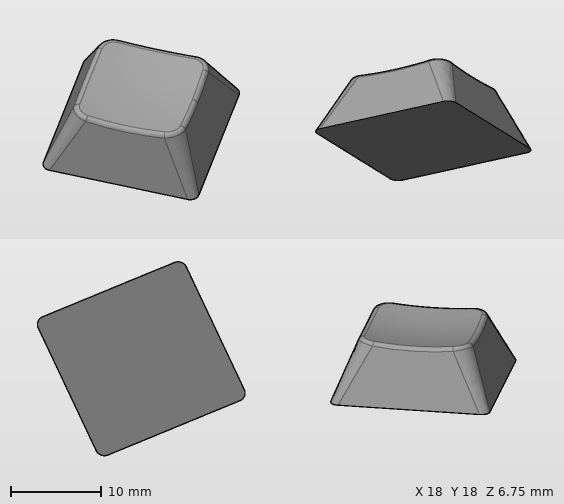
import cadquery as cq

base_side = 18.0
base_corner_radius = 1.0
loft_height = 8.0
loft_top_side = 11.57
loft_top_corner_radius = 2.15

dish_radius = 39.6
dish_bottom_height = 6.0
rim_fillet_radius = 0.6


def rounded_square(side, corner_radius, height):
    """Rounded square outline centred on the Z axis at the given height."""
    outline = cq.Sketch().rect(side, side).vertices().fillet(corner_radius)
    return outline.moved(cq.Location(cq.Vector(0, 0, height)))


def skirt():
    """Solid tapered block with flat sides and conical corners."""
    base = rounded_square(base_side, base_corner_radius, 0)
    top = rounded_square(loft_top_side, loft_top_corner_radius, loft_height)
    return cq.Workplane("XY").placeSketch(base, top).loft(ruled=True)


def dish_cutter():
    """Ball whose lowest point is the centre of the dished top."""
    ball_centre_height = dish_bottom_height + dish_radius
    return cq.Workplane("XY").sphere(dish_radius).translate((0, 0, ball_centre_height))


def round_rim(cap):
    """Fillet the rim, which is the boundary of the only spherical face."""
    return cap.faces("%SPHERE").edges().fillet(rim_fillet_radius)


dished_cap = skirt().cut(dish_cutter())
result = round_rim(dished_cap)